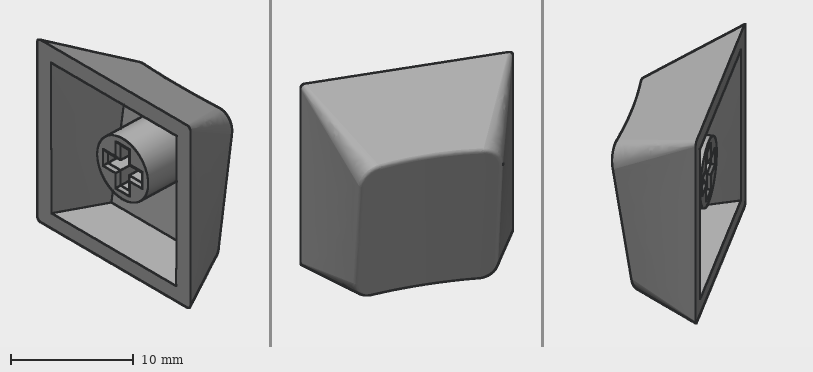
import cadquery as cq
import math

base_size = 18.0
base_corner_radius = 0.4
top_half_width = 6.0
top_corner_radius = 1.8
rim_fillet = 0.36

upper_edge_z = 4.91
lower_edge_z = -base_size / 2
upper_edge_y = 7.9
lower_edge_y = 5.85
dish_radius = 36.0
dish_reach = 5.49
top_allowance = 0.13

cavity_upper_z = 7.35
cavity_lower_z = -7.49
opening_upper_half_width = 7.38
opening_lower_half_width = 7.33
roof_upper_half_width = 4.97
roof_lower_half_width = 5.05
roof_upper_z = 4.01
roof_lower_y = 4.6

stem_diameter = 6.0
stem_face_y = 1.0
socket_length = 4.0
socket_width = 1.0
socket_lead_in = 0.32
lead_in_depth = 0.25

slope = (upper_edge_y - lower_edge_y) / (upper_edge_z - lower_edge_z)
slope_angle = math.atan(slope)
roof_upper_y = roof_lower_y + slope * (roof_upper_z - cavity_lower_z)


def facing_y(y, z=0, tilt=0):
    """Plane with local axes along +X and roughly -Z, its normal along +Y tilted down by tilt."""
    normal = (0, math.cos(tilt), -math.sin(tilt))
    return cq.Plane(origin=(0, y, z), xDir=(1, 0, 0), normal=normal)


def rounded_outline(plane, width, height, radius):
    """Rectangle with rounded corners, centred on the plane."""
    outline = cq.Sketch().rect(width, height).vertices().fillet(radius).reset().faces()
    return outline.val().outerWire().moved(plane.location)


def make_shell():
    top_y = (upper_edge_y + lower_edge_y) / 2
    top_z = (upper_edge_z + lower_edge_z) / 2
    top_length = math.hypot(upper_edge_y - lower_edge_y, upper_edge_z - lower_edge_z)
    base = rounded_outline(facing_y(0), base_size, base_size, base_corner_radius)
    top_plane = facing_y(top_y + top_allowance, top_z, slope_angle)
    top = rounded_outline(top_plane, 2 * top_half_width, top_length, top_corner_radius)
    body = cq.Workplane(cq.Solid.makeLoft([base, top], True))

    axis_height = math.sqrt(dish_radius**2 - dish_reach**2)
    reference = facing_y(top_y, top_z, slope_angle)
    start = reference.toWorldCoords((0, -base_size, axis_height))
    dish = cq.Solid.makeCylinder(dish_radius, 2 * base_size, start, reference.yDir)
    body = body.cut(cq.Workplane(dish))
    touch_face = body.faces(cq.selectors.NearestToPointSelector((0, top_y, top_z)))
    return touch_face.edges().fillet(rim_fillet)


def trapezoid(lower_half_width, lower_y, lower_z, upper_half_width, upper_y, upper_z):
    corners = [
        cq.Vector(-lower_half_width, lower_y, lower_z),
        cq.Vector(lower_half_width, lower_y, lower_z),
        cq.Vector(upper_half_width, upper_y, upper_z),
        cq.Vector(-upper_half_width, upper_y, upper_z),
    ]
    return cq.Wire.makePolygon(corners, close=True)


def make_cavity():
    opening = trapezoid(
        opening_lower_half_width, 0, cavity_lower_z,
        opening_upper_half_width, 0, cavity_upper_z,
    )
    roof = trapezoid(
        roof_lower_half_width, roof_lower_y, cavity_lower_z,
        roof_upper_half_width, roof_upper_y, roof_upper_z,
    )
    return cq.Workplane(cq.Solid.makeLoft([opening, roof], True))


def cross(plane, length, width):
    """Workplane holding the closed outline of a plus sign."""
    tip = length / 2
    side = width / 2
    half = [(tip, -side), (tip, side), (side, side), (side, tip), (-side, tip), (-side, side)]
    opposite_half = [(-x, -y) for x, y in half]
    return cq.Workplane(plane).polyline(half + opposite_half).close()


def make_stem(cavity):
    plane = facing_y(stem_face_y)
    stem = cq.Workplane(plane).circle(stem_diameter / 2).extrude(base_size)
    socket = cross(plane, socket_length, socket_width).extrude(base_size)
    mouth = cross(plane, socket_length + 2 * socket_lead_in, socket_width + 2 * socket_lead_in)
    throat = cross(facing_y(stem_face_y + lead_in_depth), socket_length, socket_width)
    lead_in = cq.Solid.makeLoft([mouth.val(), throat.val()], True)
    return stem.intersect(cavity).cut(socket).cut(cq.Workplane(lead_in))


cavity = make_cavity()
result = make_shell().cut(cavity.cut(make_stem(cavity)))